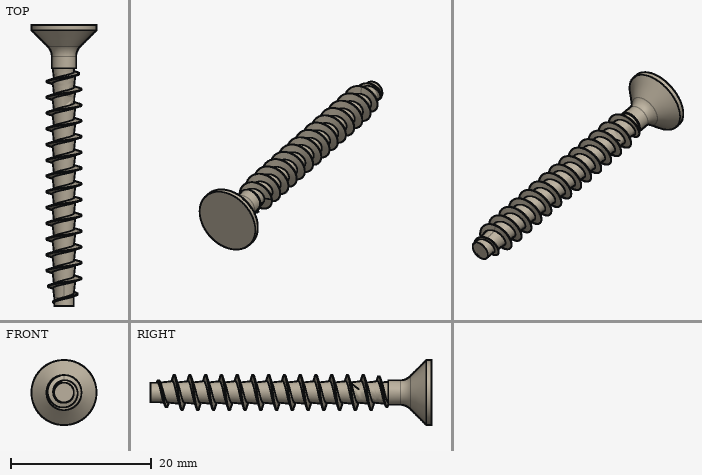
import cadquery as cq
import math


total_length = 40.0
head_radius = 9.3 / 2
head_rim_height = 0.75
head_cone_angle = 45.0
neck_fillet_radius = 2.0
shank_radius = 1.75
shank_end = 6.2

core_radius = 1.41
root_high_radius = 1.65
root_low_radius = 1.42
root_buried_radius = 1.3

pitch = 2.24
crest_radius = 2.5
thread_buried_radius = 1.2
crest_width = 0.1
flank_angle = 15.0
lead_in_turns = 0.9
joint_overlap_turns = 0.02
full_turns = 12.75
run_out_turns = 1.45
full_thread_start = 8.05
full_thread_start_angle = 180.0
full_thread_end = full_thread_start + full_turns * pitch
lead_in_start_radius = 1.98
root_run_out_turns = 0.75
root_edge_gap = 0.12


def angle_at(station):
    """Angle about the axis at which the thread crest passes an axial station."""
    return full_thread_start_angle + 360 * (station - full_thread_start) / pitch


def sweep_along_helix(profile_points, start, turns, start_radius, end_radius):
    """Sweep (radius, axial) points, given relative to the crest, along a helix that may taper."""
    height = turns * pitch
    taper = math.atan2(end_radius - start_radius, height)
    stretch = 1 / math.cos(taper)
    path_size = (pitch * stretch, height * stretch, start_radius)
    if taper:
        path = cq.Wire.makeHelix(*path_size, angle=math.degrees(taper))
    else:
        path = cq.Wire.makeHelix(*path_size)
    points = [(start_radius + radial, axial) for radial, axial in profile_points]
    profile = cq.Workplane("XZ").polyline(points).close()
    swept = profile.sweep(cq.Workplane(path), isFrenet=True)
    return swept.rotate((0, 0, 0), (0, 0, 1), angle_at(start)).translate((0, 0, start))


def make_body():
    """Head, filleted neck, plain shank and thread core as one turned body."""
    cone = math.radians(head_cone_angle)
    cone_foot = head_rim_height + (head_radius - shank_radius) / math.tan(cone)
    tangent_length = neck_fillet_radius * math.tan(cone / 2)
    fillet_start = (
        shank_radius + tangent_length * math.sin(cone),
        cone_foot - tangent_length * math.cos(cone),
    )
    fillet_end = (shank_radius, cone_foot + tangent_length)
    fillet_middle = (
        shank_radius + neck_fillet_radius * (1 - math.cos(cone / 2)),
        fillet_end[1] - neck_fillet_radius * math.sin(cone / 2),
    )
    return (
        cq.Workplane("XZ")
        .moveTo(0, 0)
        .lineTo(head_radius, 0)
        .lineTo(head_radius, head_rim_height)
        .lineTo(*fillet_start)
        .threePointArc(fillet_middle, fillet_end)
        .lineTo(shank_radius, shank_end)
        .lineTo(core_radius, shank_end)
        .lineTo(core_radius, total_length)
        .lineTo(0, total_length)
        .close()
        .revolve(360, (0, 0, 0), (0, 1, 0))
    )


def make_root_ramps():
    """Helical root that narrows from each turn of the thread towards the next.

    The main ramp starts one turn ahead of the thread, hidden in the shank.
    The run-out ramp sinks into the core at the tip.
    """
    hidden_turns = lead_in_turns + 1
    ramp_start = full_thread_start - hidden_turns * pitch
    ramp_turns = hidden_turns + full_turns
    depth = root_high_radius - root_buried_radius
    slope_fall = root_high_radius - root_low_radius
    near = root_edge_gap
    far = pitch - root_edge_gap
    profile = [(-depth, near), (0, near), (-slope_fall, far), (-depth, far)]
    main = sweep_along_helix(profile, ramp_start, ramp_turns, root_high_radius, root_high_radius)
    run_out = sweep_along_helix(
        profile, full_thread_end, root_run_out_turns, root_high_radius, core_radius
    )
    return main, run_out


def make_threads():
    """Lead-in, full-height and run-out stretches of the thread."""
    depth = crest_radius - thread_buried_radius
    half_crest = crest_width / 2
    half_base = half_crest + depth * math.tan(math.radians(flank_angle))
    lead_in_start = full_thread_start - (lead_in_turns - joint_overlap_turns) * pitch
    profile = [(-depth, -half_base), (0, -half_crest), (0, half_crest), (-depth, half_base)]
    lead_in = sweep_along_helix(
        profile, lead_in_start, lead_in_turns, lead_in_start_radius, crest_radius
    )
    full = sweep_along_helix(profile, full_thread_start, full_turns, crest_radius, crest_radius)
    run_out = sweep_along_helix(
        profile, full_thread_end, run_out_turns, crest_radius, core_radius
    )
    return lead_in, full, run_out


def trim_at_tip(body):
    """Keep only what lies on the head side of the flat tip face."""
    envelope = cq.Workplane("XY").circle(2 * head_radius).extrude(total_length)
    return body.intersect(envelope)


main_root, run_out_root = make_root_ramps()
lead_in_thread, full_thread, run_out_thread = make_threads()

screw = make_body()
for helical_stretch in (full_thread, main_root, run_out_thread, run_out_root, lead_in_thread):
    screw = screw.union(helical_stretch)
screw = trim_at_tip(screw).solids()

result = screw.rotate((0, 0, 0), (1, 0, 0), 90)